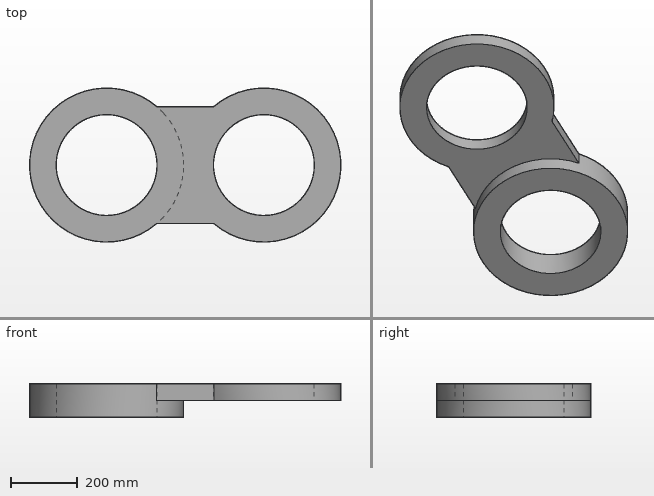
import cadquery as cq

overall_length = 930.0
ring_diameter = 460.0
bore_diameter = 300.0
web_width = 350.0
thick_ring_height = 100.0
link_height = thick_ring_height / 2

center_spacing = overall_length - ring_diameter
thick_center_x = -center_spacing / 2
thin_center_x = center_spacing / 2


def disc(center_x, diameter, height):
    """Vertical cylinder hanging down from the common top face at Z = 0."""
    return cq.Workplane("XY").center(center_x, 0).circle(diameter / 2).extrude(-height)


thick_ring = disc(thick_center_x, ring_diameter, thick_ring_height)
thin_ring = disc(thin_center_x, ring_diameter, link_height)

web = cq.Workplane("XY").rect(center_spacing, web_width).extrude(-link_height)

result = thick_ring.union(thin_ring).union(web)

for bore_center_x in (thick_center_x, thin_center_x):
    result = result.cut(disc(bore_center_x, bore_diameter, thick_ring_height))